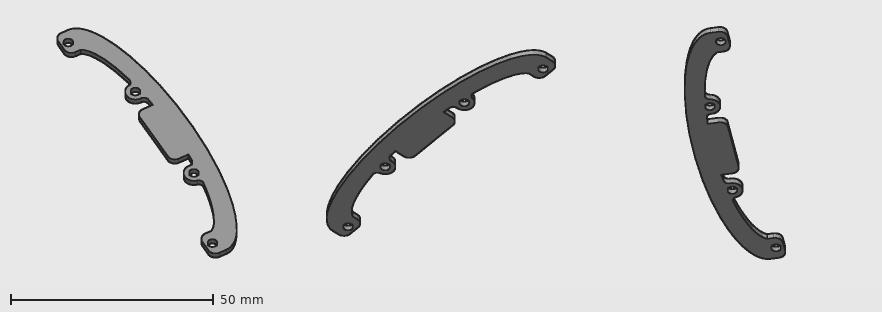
import cadquery as cq
import math

LENGTH = 80.0
DEPTH = 15.8
THICKNESS = 1.7
HALF_LENGTH = LENGTH / 2

OUTER_BASE = 4.0

INNER_BASE = 2.4
INNER_HALF_WIDTH = 33.3
INNER_RISE = 8.5

FOOT_WIDTH = 7.0
FOOT_CORNER_RADIUS = 2.0
FOOT_HOLE_INSET = 3.5
FOOT_HOLE_HEIGHT = 2.0

EAR_X = 14.8
EAR_Y = 8.9
EAR_RADIUS = 2.6
EAR_FILLET = 1.3

PAD_WIDTH = 18.1
PAD_BOTTOM = 5.8
PAD_CORNER_RADIUS = 1.9
PAD_OVERLAP = 1.6

HOLE_DIAMETER = 2.4
SIDES = (-1, 1)
SELECTION_MARGIN = 0.1


def upright_edges(x_min, x_max, y_min, y_max):
    """Selector for edges centred at mid-thickness within the given rectangle."""
    middle = THICKNESS / 2
    return cq.selectors.BoxSelector(
        (x_min - SELECTION_MARGIN, y_min - SELECTION_MARGIN, middle - SELECTION_MARGIN),
        (x_max + SELECTION_MARGIN, y_max + SELECTION_MARGIN, middle + SELECTION_MARGIN),
    )


def inner_edge_y(x):
    """Height of the inner ellipse at x."""
    return INNER_BASE + INNER_RISE * math.sqrt(1 - (x / INNER_HALF_WIDTH) ** 2)


def arched_band():
    """Curved band ending in two rounded feet."""
    foot_inner_x = HALF_LENGTH - FOOT_WIDTH
    foot_inner_y = inner_edge_y(foot_inner_x)
    outer = (
        cq.Workplane("XY")
        .moveTo(-HALF_LENGTH, 0)
        .lineTo(HALF_LENGTH, 0)
        .lineTo(HALF_LENGTH, OUTER_BASE)
        .ellipseArc(HALF_LENGTH, DEPTH - OUTER_BASE, 0, 180, startAtCurrent=True)
        .close()
        .extrude(THICKNESS)
        .edges("|Z and <Y")
        .fillet(FOOT_CORNER_RADIUS)
    )
    arch = (
        cq.Workplane("XY")
        .center(0, INNER_BASE)
        .ellipse(INNER_HALF_WIDTH, INNER_RISE)
        .extrude(THICKNESS)
    )
    gap_between_feet = cq.Workplane("XY").rect(2 * foot_inner_x, 2 * DEPTH).extrude(THICKNESS)
    below_arch = cq.Workplane("XY").rect(2 * foot_inner_x, 2 * foot_inner_y).extrude(THICKNESS)
    opening = arch.intersect(gap_between_feet).union(below_arch)
    band = outer.cut(opening)
    inner_corners = upright_edges(-foot_inner_x, foot_inner_x, 0, 0)
    return band.edges(inner_corners).fillet(FOOT_CORNER_RADIUS)


def add_ears(body):
    """Add the two ears and blend them into the inner edge."""
    ear_centres = [(side * EAR_X, EAR_Y) for side in SIDES]
    ears = cq.Workplane("XY").pushPoints(ear_centres).circle(EAR_RADIUS).extrude(THICKNESS)
    body = body.union(ears)
    for side in SIDES:
        ear_x = side * EAR_X
        near_ear = upright_edges(ear_x - EAR_RADIUS, ear_x + EAR_RADIUS, EAR_Y, DEPTH)
        body = body.edges(near_ear).fillet(EAR_FILLET)
    return body


def central_pad():
    """Pad hanging from the middle of the band, with rounded lower corners."""
    pad_top = INNER_BASE + INNER_RISE + PAD_OVERLAP
    return (
        cq.Workplane("XY")
        .rect(PAD_WIDTH, pad_top - PAD_BOTTOM)
        .extrude(THICKNESS)
        .edges("|Z and <Y")
        .fillet(PAD_CORNER_RADIUS)
        .translate((0, (pad_top + PAD_BOTTOM) / 2, 0))
    )


def hole_pins():
    """Cylinders for the through holes in the feet and ears."""
    centres = []
    for side in SIDES:
        centres.append((side * (HALF_LENGTH - FOOT_HOLE_INSET), FOOT_HOLE_HEIGHT))
        centres.append((side * EAR_X, EAR_Y))
    return cq.Workplane("XY").pushPoints(centres).circle(HOLE_DIAMETER / 2).extrude(THICKNESS)


result = add_ears(arched_band()).union(central_pad()).cut(hole_pins())